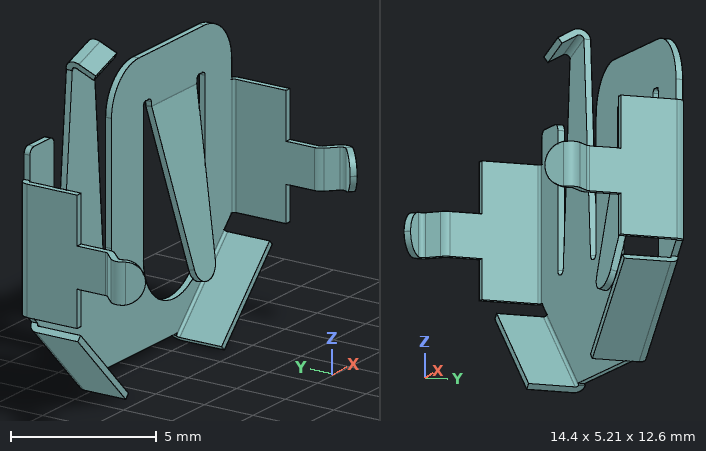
import cadquery as cq
import math

thickness = 0.25
bend_radius = 0.1
bend_outer = bend_radius + thickness

half_width = 6.25
shoulder_z = 3.375
post_top_z = 9.4
post_corner_radius = 0.25
frame_top_z = 10.7
frame_corner_radius = 1.7
slot_left_x = -4.75
slot_right_x = -1.2
slot_floor_z = 4.07
slot_corner_radius = 0.2

finger_x = (slot_left_x + slot_right_x) / 2
finger_root_half_width = 1.285
hook_tilt = 19.0
hook_width = 1.39
hook_z = 11.68
hook_bend_radius = 0.15
hook_bend_angle = 120.0
hook_lip_length = 0.71

window_x = 2.69
window_radius = 1.905
window_floor_z = 1.32
window_top_z = 9.015
window_corner_radius = 0.15
tongue_root_z = 8.71
tongue_root_half_width = 1.4
tongue_tip_radius = 0.65
tongue_length = 6.63
tongue_angle = 12.0

side_flange_bottom_z = shoulder_z
side_flange_height = 4.85
side_flange_depth = 2.42
arm_center_z = 5.59
arm_width = 1.57
arm_tip_radius = 0.78
arm_bend_start = 3.585
arm_bend_radius = 0.175
arm_out_angle = 45.0
arm_return_angle = 90.0
arm_ramp_length = 0.57
arm_lip_length = 0.7

lower_flange_offset = 0.66
lower_flange_length = 4.21
lower_flange_depth = 2.07


def bent_strip(plane, width, steps):
    """Sheet strip that starts at the plane origin and runs along its x direction.

    The strip's right-hand face passes through the origin.  Each step is
    ("run", length) or ("bend", signed angle, inside radius), left being positive.
    The profile is extruded by width along the plane normal.
    """
    x, y, heading = 0.0, 0.0, 0.0
    right_side = []
    left_side = []

    def across(px, py, angle, distance):
        return (px - distance * math.sin(angle), py + distance * math.cos(angle))

    for step in steps:
        start_left = across(x, y, heading, thickness)
        if step[0] == "run":
            x += step[1] * math.cos(heading)
            y += step[1] * math.sin(heading)
            right_side.append((None, (x, y)))
            left_side.append((None, start_left))
            continue
        turn = math.radians(step[1])
        reach = step[2] + thickness if turn > 0 else -step[2]
        center = across(x, y, heading, reach)
        middle = heading + turn / 2
        heading += turn
        x, y = across(*center, heading, -reach)
        right_side.append((across(*center, middle, -reach), (x, y)))
        left_side.append((across(*center, middle, thickness - reach), start_left))

    profile = cq.Workplane(plane).moveTo(0, 0)
    end_left = (None, across(x, y, heading, thickness))
    for middle_point, end_point in right_side + [end_left] + left_side[::-1]:
        if middle_point is None:
            profile = profile.lineTo(*end_point)
        else:
            profile = profile.threePointArc(middle_point, end_point)
    return profile.close().extrude(width)


def hook_start(side):
    """End of the hook bend line, side -1 for left and +1 for right."""
    tilt = math.radians(hook_tilt)
    reach = side * hook_width / 2
    return (finger_x + reach * math.cos(tilt), hook_z + reach * math.sin(tilt))


def round_corners(body, corners, radius):
    """Round the plate corners that stand at the given (x, z) points."""
    for x, z in corners:
        corner = cq.selectors.NearestToPointSelector((x, -thickness / 2, z))
        body = body.edges("|Y").edges(corner).fillet(radius)
    return body


def make_plate():
    lower_half_width = half_width - shoulder_z
    post_corners = [(-half_width, post_top_z), (slot_left_x, post_top_z)]
    frame_corners = [(slot_right_x, frame_top_z), (half_width, frame_top_z)]
    slot_corners = [
        (slot_left_x, slot_floor_z),
        (finger_x - finger_root_half_width, slot_floor_z),
        (finger_x + finger_root_half_width, slot_floor_z),
        (slot_right_x, slot_floor_z),
    ]
    outline = (
        [(-lower_half_width, 0), (-half_width, shoulder_z)]
        + post_corners
        + slot_corners[:2]
        + [hook_start(-1), hook_start(1)]
        + slot_corners[2:]
        + frame_corners
        + [(half_width, shoulder_z), (lower_half_width, 0)]
    )
    plate = cq.Workplane("XZ").polyline(outline).close().extrude(thickness)
    plate = round_corners(plate, post_corners, post_corner_radius)
    plate = round_corners(plate, frame_corners, frame_corner_radius)
    return round_corners(plate, slot_corners, slot_corner_radius)


def tongue_tip_tangent():
    """Half width and distance from the root where the tongue sides meet the tip arc."""
    center = tongue_length - tongue_tip_radius
    distance = math.hypot(center, tongue_root_half_width)
    lean = math.asin(tongue_tip_radius / distance) - math.atan2(tongue_root_half_width, center)
    return tongue_tip_radius * math.cos(lean), center - tongue_tip_radius * math.sin(lean)


def make_window():
    left = window_x - window_radius
    right = window_x + window_radius
    arc_z = window_floor_z + window_radius
    tip_half_width, tip_distance = tongue_tip_tangent()
    taper = (tongue_root_half_width - tip_half_width) / tip_distance
    neck = tongue_root_half_width + taper * (window_top_z - tongue_root_z)
    top_corners = [
        (right, window_top_z),
        (window_x + neck, window_top_z),
        (window_x - neck, window_top_z),
        (left, window_top_z),
    ]
    window = (
        cq.Workplane("XZ")
        .moveTo(left, arc_z)
        .threePointArc((window_x, window_floor_z), (right, arc_z))
        .lineTo(*top_corners[0])
        .lineTo(*top_corners[1])
        .lineTo(window_x + tongue_root_half_width, tongue_root_z)
        .lineTo(window_x - tongue_root_half_width, tongue_root_z)
        .lineTo(*top_corners[2])
        .lineTo(*top_corners[3])
        .close()
        .extrude(thickness)
    )
    return round_corners(window, top_corners, window_corner_radius)


def make_tongue():
    """Tapered tongue, hinged forward about its root line on the plate's front face."""
    tip_half_width, tip_distance = tongue_tip_tangent()
    overlap = thickness * math.tan(math.radians(tongue_angle))
    tongue = (
        cq.Workplane("XZ", origin=(window_x, 0, tongue_root_z))
        .moveTo(-tongue_root_half_width, overlap)
        .lineTo(-tongue_root_half_width, 0)
        .lineTo(-tip_half_width, -tip_distance)
        .threePointArc((0, -tongue_length), (tip_half_width, -tip_distance))
        .lineTo(tongue_root_half_width, 0)
        .lineTo(tongue_root_half_width, overlap)
        .close()
        .extrude(thickness)
    )
    hinge_start = (window_x, -thickness, tongue_root_z)
    hinge_end = (window_x + tongue_root_half_width, -thickness, tongue_root_z)
    tongue = tongue.rotate(hinge_start, hinge_end, -tongue_angle)
    return tongue.copyWorkplane(cq.Workplane("XZ")).split(keepTop=True)


def make_hook():
    tilt = math.radians(hook_tilt)
    x, z = hook_start(-1)
    plane = cq.Plane(
        origin=(x, 0, z),
        xDir=(-math.sin(tilt), 0, math.cos(tilt)),
        normal=(math.cos(tilt), 0, math.sin(tilt)),
    )
    steps = [("bend", hook_bend_angle, hook_bend_radius), ("run", hook_lip_length)]
    return bent_strip(plane, hook_width, steps)


def fold_steps(depth):
    """Right-angle fold that ends at the given distance from the back face."""
    return [("bend", 90, bend_radius), ("run", depth - bend_outer)]


def make_side_flange():
    top_z = side_flange_bottom_z + side_flange_height
    plane = cq.Plane(origin=(half_width, 0, top_z), xDir=(1, 0, 0), normal=(0, 0, -1))
    return bent_strip(plane, side_flange_height, fold_steps(side_flange_depth))


def make_arm():
    """Snap arm: straight out of the side flange, then outward, then back inward."""
    origin = (half_width + bend_outer, -side_flange_depth, arm_center_z + arm_width / 2)
    plane = cq.Plane(origin=origin, xDir=(0, -1, 0), normal=(0, 0, -1))
    steps = [
        ("run", arm_bend_start - side_flange_depth),
        ("bend", -arm_out_angle, arm_bend_radius),
        ("run", arm_ramp_length),
        ("bend", arm_return_angle, arm_bend_radius),
        ("run", arm_lip_length),
    ]
    arm = bent_strip(plane, arm_width, steps)
    return arm.faces("<Y").edges("not |Z").fillet(arm_tip_radius)


def make_lower_flange():
    diagonal = math.sqrt(0.5)
    start = lower_flange_offset * diagonal
    plane = cq.Plane(
        origin=(half_width - start, 0, shoulder_z - start),
        xDir=(diagonal, 0, -diagonal),
        normal=(-diagonal, 0, -diagonal),
    )
    return bent_strip(plane, lower_flange_length, fold_steps(lower_flange_depth))


result = make_plate().cut(make_window()).union(make_tongue()).union(make_hook())
for right_part in (make_side_flange(), make_arm(), make_lower_flange()):
    result = result.union(right_part).union(right_part.mirror("YZ"))